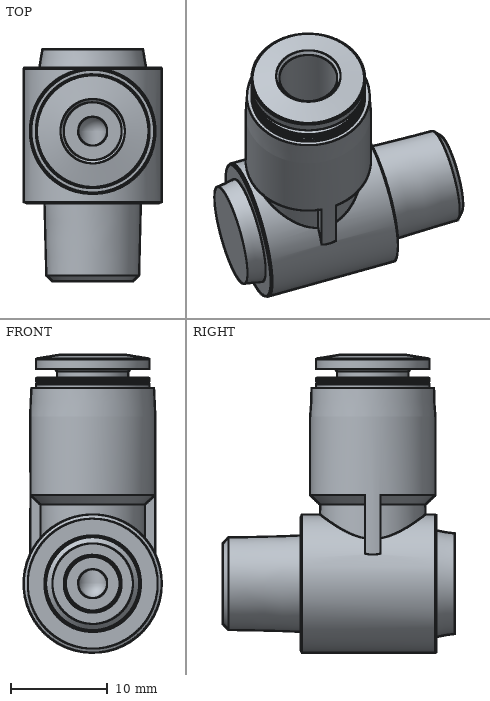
import cadquery as cq


body_radius = 14.3 / 2
body_front = -7.5
body_back = 6.6
front_bevel_radial = 0.43
front_bevel_length = 0.2
back_bevel_radial = 0.1
back_bevel_length = 0.2

spigot_front = -15.52
spigot_root_radius = 5.0
spigot_end_radius = 4.8
spigot_tip_radius = 4.15
spigot_tip_length = 0.62

plug_back = 8.48
plug_root_radius = 5.52
plug_end_radius = 5.2

tower_top = 30.85 - body_radius
tower_radius = 13.0 / 2
tower_shoulder_radius = 6.35
tower_neck_radius = 5.45
neck_top = 8.18
tower_bottom = 9.15
taper_start = 17.28
shoulder_height = 20.25

collar_radius = 11.8 / 2
collar_top = 21.32
collar_bevel = 0.15
groove_height = 20.8
groove_depth = 0.15
groove_half_width = 0.2

cap_radius = collar_radius
cap_stem_radius = 7.4 / 2
cap_bottom = 22.18
cap_rim_height = 23.3
cap_edge_bevel = 0.12
stem_flare = 0.2
stem_flare_length = 0.25

rib_width = 1.6

passage_radius = 3.0 / 2
spigot_bore_radius = 5.55 / 2
spigot_bore_end = body_front
spigot_mouth_bevel = 0.22
tube_bore_radius = 6.0 / 2
tube_bore_floor = tower_bottom
tube_mouth_bevel = 0.35


def revolve_about_z(profile):
    """Revolve (radius, z) points, closed along the axis, about Z."""
    points = [(0, profile[0][1]), *profile, (0, profile[-1][1])]
    return cq.Workplane("XZ").polyline(points).close().revolve(360, (0, 0), (0, 1))


def revolve_about_y(profile):
    """Revolve (radius, y) points, closed along the axis, about Y."""
    points = [(0, profile[0][1]), *profile, (0, profile[-1][1])]
    return cq.Workplane("XY").polyline(points).close().revolve(360, (0, 0), (0, 1))


def make_body():
    return revolve_about_y([
        (spigot_tip_radius, spigot_front),
        (spigot_end_radius, spigot_front + spigot_tip_length),
        (spigot_root_radius, body_front),
        (body_radius - front_bevel_radial, body_front),
        (body_radius, body_front + front_bevel_length),
        (body_radius, body_back - back_bevel_length),
        (body_radius - back_bevel_radial, body_back),
        (plug_root_radius, body_back),
        (plug_end_radius, plug_back),
    ])


def make_tower():
    return revolve_about_z([
        (tower_neck_radius, 0),
        (tower_neck_radius, neck_top),
        (tower_radius, tower_bottom),
        (tower_radius, taper_start),
        (tower_shoulder_radius, shoulder_height),
        (collar_radius, shoulder_height),
        (collar_radius, groove_height - groove_half_width),
        (collar_radius - groove_depth, groove_height),
        (collar_radius, groove_height + groove_half_width),
        (collar_radius, collar_top - collar_bevel),
        (collar_radius - collar_bevel, collar_top),
        (cap_stem_radius, collar_top),
        (cap_stem_radius, cap_bottom - stem_flare_length),
        (cap_stem_radius + stem_flare, cap_bottom),
        (cap_radius, cap_bottom),
        (cap_radius, cap_rim_height - cap_edge_bevel),
        (cap_radius - cap_edge_bevel, cap_rim_height),
        (tube_bore_radius + tube_mouth_bevel, tower_top),
    ])


def make_ribs():
    """One bar across the tower, rounded to it, forms both side ribs."""
    bar = cq.Workplane("XY").rect(2 * tower_radius, rib_width).extrude(tower_bottom)
    return bar.intersect(cq.Workplane("XY").circle(tower_radius).extrude(tower_bottom))


def make_tube_passage():
    """Tube socket and narrow passage from the cap down to the elbow."""
    return revolve_about_z([
        (passage_radius, 0),
        (passage_radius, tube_bore_floor),
        (tube_bore_radius, tube_bore_floor),
        (tube_bore_radius, tower_top - tube_mouth_bevel),
        (tube_bore_radius + tube_mouth_bevel, tower_top),
    ])


def make_spigot_passage():
    """Spigot bore and narrow passage from the front to the elbow."""
    return revolve_about_y([
        (spigot_bore_radius + spigot_mouth_bevel, spigot_front),
        (spigot_bore_radius, spigot_front + spigot_mouth_bevel),
        (spigot_bore_radius, spigot_bore_end),
        (passage_radius, spigot_bore_end),
        (passage_radius, 0),
    ])


elbow_ball = cq.Workplane("XY").sphere(passage_radius)
passage = make_tube_passage().union(make_spigot_passage()).union(elbow_ball)

result = make_body().union(make_tower()).union(make_ribs()).cut(passage)